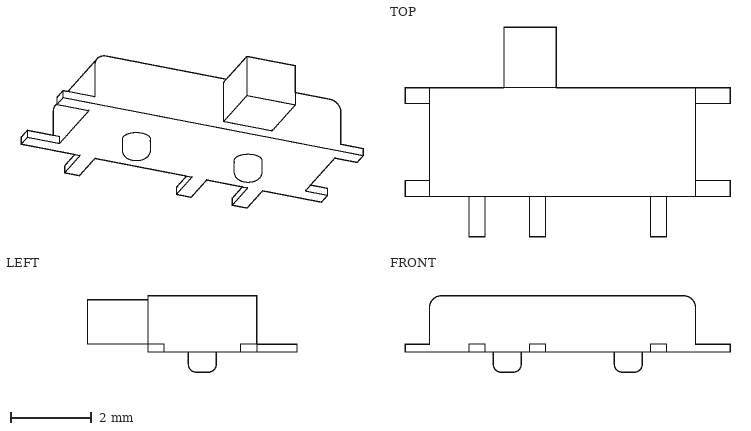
import cadquery as cq


body_length = 6.6
body_width = 2.7
body_height = 1.4
body_offset_x = -0.13
body_corner_radius = 0.3

slider_width = 1.3
slider_reach = 1.5
slider_bottom = 0.2
slider_height = 1.1
slider_x = -0.93

terminal_width = 0.4
terminal_thickness = 0.2
lead_reach = 1.0
lead_positions_x = (-2.25, -0.75, 2.25)
tab_span = 8.06

peg_radius = 0.35
peg_length = 0.5
peg_spacing = 3.0
peg_tip_radius = 0.2

body_left = body_offset_x - body_length / 2
body_right = body_offset_x + body_length / 2
body_front = -body_width / 2
body_back = body_width / 2


def block(x_min, x_max, y_min, y_max, z_min, z_max):
    """Rectangular block given by its limits along each axis."""
    return cq.Workplane("XY").box(
        x_max - x_min, y_max - y_min, z_max - z_min, centered=False
    ).translate((x_min, y_min, z_min))


def make_body():
    """Housing with its two upper end edges rounded."""
    body = block(body_left, body_right, body_front, body_back, 0, body_height)
    return body.faces(">Z").edges("|Y").fillet(body_corner_radius)


def make_slider():
    """Slider block standing out of the back wall."""
    return block(
        slider_x - slider_width / 2,
        slider_x + slider_width / 2,
        body_back,
        body_back + slider_reach,
        slider_bottom,
        slider_bottom + slider_height,
    )


def make_lead(x):
    """Flat solder lead standing out of the front wall."""
    return block(
        x - terminal_width / 2,
        x + terminal_width / 2,
        body_front - lead_reach,
        body_front,
        0,
        terminal_thickness,
    )


def make_tab_strip(y_min):
    """Strip through the housing that leaves a mounting tab at each end."""
    return block(
        -tab_span / 2,
        tab_span / 2,
        y_min,
        y_min + terminal_width,
        0,
        terminal_thickness,
    )


def make_peg(x):
    """Round locating peg below the housing with a rounded tip."""
    peg = cq.Workplane("XY").center(x, 0).circle(peg_radius).extrude(-peg_length)
    return peg.faces("<Z").edges().fillet(peg_tip_radius)


result = make_body().union(make_slider())

for lead_x in lead_positions_x:
    result = result.union(make_lead(lead_x))

for tab_y in (body_front, body_back - terminal_width):
    result = result.union(make_tab_strip(tab_y))

for peg_x in (-peg_spacing / 2, peg_spacing / 2):
    result = result.union(make_peg(peg_x))